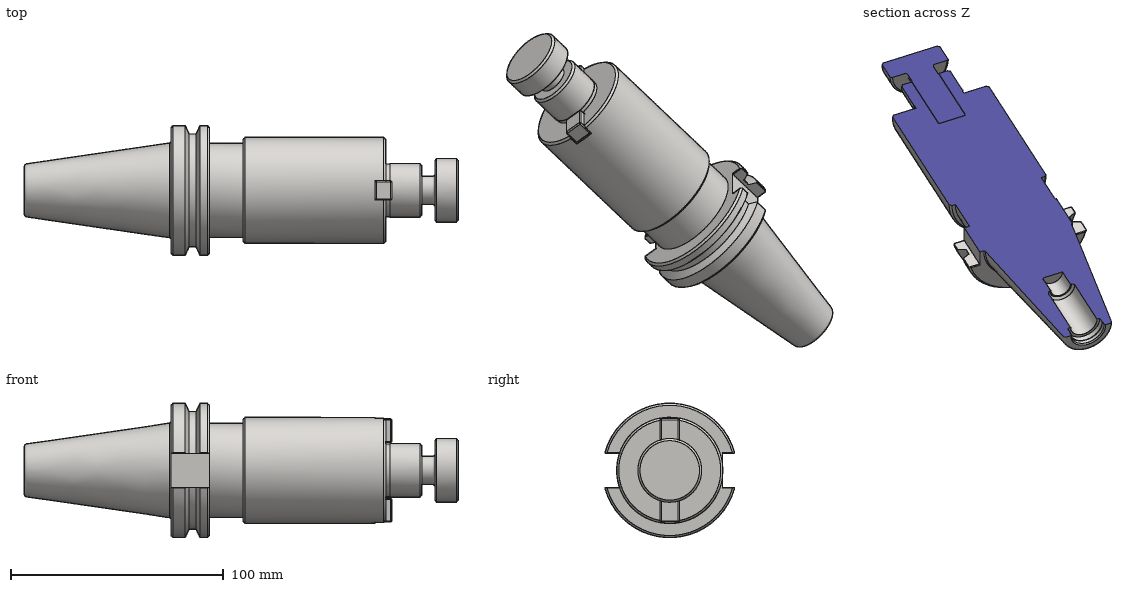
import cadquery as cq


TAPER_END_X = 67.8
FLANGE_START_X = 69.0
FLANGE_END_X = 87.2
BODY_START_X = 103.0
BODY_END_X = 170.1
RELIEF_END_X = 172.0
SPIGOT_END_X = 187.0

GAUGE_DIA = 44.5
TAPER_RATIO = 7 / 24
SMALL_END_DIA = GAUGE_DIA - TAPER_RATIO * TAPER_END_X
SMALL_END_FILLET = 1.6
FLANGE_ROOT_BEVEL = 0.6
FLANGE_DIA = 63.3
BODY_DIA = 50.0
SPIGOT_DIA = 25.3
RELIEF_DIA = 25.0
EDGE_CHAMFER = 1.0

GROOVE_DIA = 55.5
GROOVE_CENTER_X = 79.2
GROOVE_FLOOR_WIDTH = 3.3
GROOVE_MOUTH_WIDTH = 7.0

SLOT_WIDTH = 16.0
SHALLOW_SLOT_FLOOR = 25.0
DEEP_SLOT_FLOOR = 22.9
SLOT_CHAMFER = 0.5

COUNTERBORE_MOUTH_DIA = 18.0
COUNTERBORE_DIA = 16.7
COUNTERBORE_DEPTH = 2.5
SEAT_DIA = 16.3
SEAT_DEPTH = 5.1
BORE_DIA = 13.5
BORE_DEPTH = 30.6
BORE_CONE_END_DIA = 11.2
BORE_TIP_DIA = 10.0
BORE_TIP_DEPTH = 40.8

KEY_START_X = 165.0
KEY_END_X = 173.0
KEY_WIDTH = 9.2
KEY_CHAMFER = 0.6
KEY_INNER_RADIUS = 13.0
KEY_OUTER_RADIUS = 24.3

SHANK_DIA = 13.5
SHANK_START_X = 156.3
HEAD_DIA = 30.0
HEAD_START_X = 193.2
HEAD_END_X = 204.2
HEAD_FILLET = 1.0
HEAD_BACK_CHAMFER = 0.6


def revolve_about_x(points):
    """Revolve a closed (x, radius) outline about the X axis."""
    return cq.Workplane("XY").polyline(points).close().revolve(360, (0, 0, 0), (1, 0, 0))


def shaft():
    """Taper, neck, body and spigot in one, without the flange."""
    neck_radius = GAUGE_DIA / 2
    body_radius = BODY_DIA / 2
    relief_radius = RELIEF_DIA / 2
    spigot_radius = SPIGOT_DIA / 2
    blank = revolve_about_x([
        (0, 0),
        (0, SMALL_END_DIA / 2),
        (TAPER_END_X, neck_radius),
        (FLANGE_START_X - FLANGE_ROOT_BEVEL, neck_radius),
        (FLANGE_START_X, neck_radius + FLANGE_ROOT_BEVEL),
        (FLANGE_START_X, neck_radius),
        (BODY_START_X, neck_radius),
        (BODY_START_X, body_radius - EDGE_CHAMFER),
        (BODY_START_X + EDGE_CHAMFER, body_radius),
        (BODY_END_X - EDGE_CHAMFER, body_radius),
        (BODY_END_X, body_radius - EDGE_CHAMFER),
        (BODY_END_X, relief_radius),
        (RELIEF_END_X, relief_radius),
        (RELIEF_END_X, spigot_radius),
        (SPIGOT_END_X - EDGE_CHAMFER, spigot_radius),
        (SPIGOT_END_X, spigot_radius - EDGE_CHAMFER),
        (SPIGOT_END_X, 0),
    ])
    return blank.faces("<X").edges().fillet(SMALL_END_FILLET)


def flange_slot(side, floor):
    """Cutter for one driving slot; side is +1 for +Y and -1 for -Y."""
    length = FLANGE_END_X - FLANGE_START_X
    depth = FLANGE_DIA / 2 - floor
    center = ((FLANGE_START_X + FLANGE_END_X) / 2, side * (floor + depth / 2), 0)
    return cq.Workplane("XY").box(length, depth, SLOT_WIDTH).translate(center)


def slotted_disc():
    """Flange disc with both driving slots, the edges of the slot walls broken."""
    length = FLANGE_END_X - FLANGE_START_X
    disc = cq.Workplane("YZ", origin=(FLANGE_START_X, 0, 0)).circle(FLANGE_DIA / 2).extrude(length)
    disc = disc.cut(flange_slot(1, SHALLOW_SLOT_FLOOR)).cut(flange_slot(-1, DEEP_SLOT_FLOOR))
    disc = disc.faces("<X or >X").edges("|Y").chamfer(SLOT_CHAMFER)
    return disc.faces("%CYLINDER").edges("|X").chamfer(SLOT_CHAMFER)


def flange_groove():
    """Ring-shaped cutter for the V-groove."""
    floor = GROOVE_FLOOR_WIDTH / 2
    mouth = GROOVE_MOUTH_WIDTH / 2
    return revolve_about_x([
        (GROOVE_CENTER_X - mouth, FLANGE_DIA / 2),
        (GROOVE_CENTER_X - floor, GROOVE_DIA / 2),
        (GROOVE_CENTER_X + floor, GROOVE_DIA / 2),
        (GROOVE_CENTER_X + mouth, FLANGE_DIA / 2),
    ])


def flange_rim():
    """Solid of revolution that bounds the flange with its two rim chamfers."""
    radius = FLANGE_DIA / 2
    return revolve_about_x([
        (FLANGE_START_X, 0),
        (FLANGE_START_X, radius - EDGE_CHAMFER),
        (FLANGE_START_X + EDGE_CHAMFER, radius),
        (FLANGE_END_X - EDGE_CHAMFER, radius),
        (FLANGE_END_X, radius - EDGE_CHAMFER),
        (FLANGE_END_X, 0),
    ])


def flange():
    return slotted_disc().intersect(flange_rim()).cut(flange_groove())


def drawbar_bore():
    """Stepped cutter that narrows from the counterbore to the tip of the bore."""
    mouth_chamfer = (COUNTERBORE_MOUTH_DIA - COUNTERBORE_DIA) / 2
    cone_length = (BORE_DIA - BORE_CONE_END_DIA) / 2
    return revolve_about_x([
        (0, 0),
        (0, COUNTERBORE_MOUTH_DIA / 2),
        (mouth_chamfer, COUNTERBORE_DIA / 2),
        (COUNTERBORE_DEPTH, COUNTERBORE_DIA / 2),
        (COUNTERBORE_DEPTH, SEAT_DIA / 2),
        (SEAT_DEPTH, SEAT_DIA / 2),
        (SEAT_DEPTH, BORE_DIA / 2),
        (BORE_DEPTH, BORE_DIA / 2),
        (BORE_DEPTH + cone_length, BORE_CONE_END_DIA / 2),
        (BORE_DEPTH + cone_length, BORE_TIP_DIA / 2),
        (BORE_TIP_DEPTH, BORE_TIP_DIA / 2),
        (BORE_TIP_DEPTH, 0),
    ])


def key_block(side, outer_radius):
    """Block in the place of one drive key; side is +1 for +Z and -1 for -Z."""
    height = outer_radius - KEY_INNER_RADIUS
    center = ((KEY_START_X + KEY_END_X) / 2, 0, side * (KEY_INNER_RADIUS + height / 2))
    return cq.Workplane("XY").box(KEY_END_X - KEY_START_X, KEY_WIDTH, height).translate(center)


def screw_hole():
    depth = SPIGOT_END_X - SHANK_START_X
    return cq.Workplane("YZ", origin=(SHANK_START_X, 0, 0)).circle(SHANK_DIA / 2).extrude(depth)


def make_holder():
    holder = shaft().union(flange()).cut(drawbar_bore()).cut(screw_hole())
    for side in (1, -1):
        holder = holder.cut(key_block(side, BODY_DIA / 2))
    return holder


def make_drive_key(side):
    return key_block(side, KEY_OUTER_RADIUS).edges().chamfer(KEY_CHAMFER)


def make_screw():
    shank_radius = SHANK_DIA / 2
    head_radius = HEAD_DIA / 2
    outline = (
        cq.Workplane("XY")
        .moveTo(SHANK_START_X, 0)
        .lineTo(SHANK_START_X, shank_radius)
        .lineTo(HEAD_START_X - HEAD_FILLET, shank_radius)
        .tangentArcPoint((HEAD_START_X, shank_radius + HEAD_FILLET), relative=False)
        .lineTo(HEAD_START_X, head_radius - EDGE_CHAMFER)
        .lineTo(HEAD_START_X + HEAD_BACK_CHAMFER, head_radius)
        .lineTo(HEAD_END_X - EDGE_CHAMFER, head_radius)
        .lineTo(HEAD_END_X, head_radius - EDGE_CHAMFER)
        .lineTo(HEAD_END_X, 0)
        .close()
    )
    return outline.revolve(360, (0, 0, 0), (1, 0, 0))


holder = make_holder()
drive_keys = [make_drive_key(side) for side in (1, -1)]
screw = make_screw()

result = cq.Compound.makeCompound([holder.val(), *[key.val() for key in drive_keys], screw.val()])